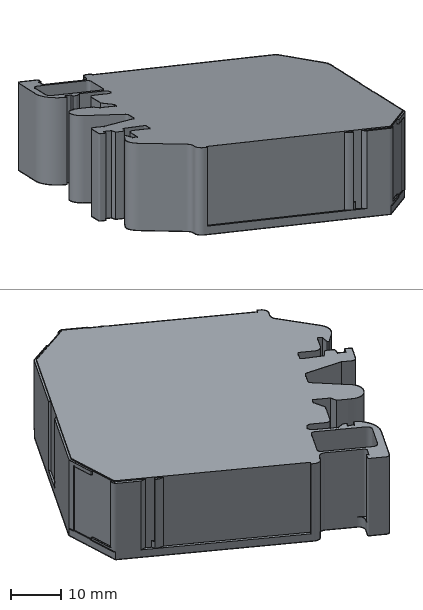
import cadquery as cq
import math

width = 60.0
length = 63.0
thickness = 18.0
half_width = width / 2

shoulder_y = 13.85
shoulder_radius = 1.45
bevel_start_y = 55.75
bevel_top_x = 19.45
bevel_corner_radius = 0.95

rim_drop = 0.25
side_inset = 0.6
end_inset = 0.45

flange_height = 1.75
recess_low_y = 16.0
recess_high_y = 50.35
recess_ramp_length = 0.95
catch_high_y = 47.5
catch_length = 1.75
catch_height = 0.55
catch_bulge_height = 0.4
catch_bulge_setback = 1.1
catch_rib_length = 0.6
catch_rib_top = 3.3

notch_half_floor = 2.8
notch_half_mouth = 3.5

flange_bevel_inset = 0.2
pocket_depth = 0.4
pocket_low_y = 56.4
pocket_step_y = 59.5
pocket_high_y = 62.3
pocket_low_z = 2.4
pocket_tab_z = 16.9

window_left = -25.65
window_right = -17.95
window_low_y = 1.6
window_low_radius = 1.15
window_high_radius = 0.75

spring_outer_x = -26.3
hook_top_y = 4.55
hook_fillet = 1.4
relief_left = -28.5
relief_low_y = 4.05
relief_low_z = 2.4
relief_radius = 0.6

bevel_run = half_width - bevel_top_x
bevel_rise = length - bevel_start_y
bevel_length = math.hypot(bevel_run, bevel_rise)
bevel_normal = (bevel_rise / bevel_length, -bevel_run / bevel_length)


def rounded_prism(corners, low_z, high_z):
    """Extrude a closed outline of (x, y, corner radius) between two heights."""
    arcs = []
    for i, (x, y, radius) in enumerate(corners):
        before = cq.Vector(*corners[i - 1][:2])
        after = cq.Vector(*corners[(i + 1) % len(corners)][:2])
        corner = cq.Vector(x, y)
        if radius == 0:
            arcs.append((corner,))
            continue
        to_before = (before - corner).normalized()
        to_after = (after - corner).normalized()
        half_angle = to_before.getAngle(to_after) / 2
        tangent = radius / math.tan(half_angle)
        sagitta = radius / math.sin(half_angle) - radius
        middle = corner + (to_before + to_after).normalized() * sagitta
        arcs.append((corner + to_before * tangent, middle, corner + to_after * tangent))

    outline = cq.Workplane("XY").workplane(offset=low_z).moveTo(*arcs[0][-1].toTuple()[:2])
    for arc in arcs[1:] + arcs[:1]:
        outline = outline.lineTo(*arc[0].toTuple()[:2])
        if len(arc) == 3:
            outline = outline.threePointArc(arc[1].toTuple()[:2], arc[2].toTuple()[:2])
    return outline.close().extrude(high_z - low_z)


def both_sides(shape):
    """Join a left-hand shape with its mirror image on the right."""
    return shape.union(shape.mirror("YZ"))


def housing():
    head = [
        (half_width, shoulder_y, shoulder_radius),
        (half_width, bevel_start_y, bevel_corner_radius),
        (bevel_top_x, length, 0),
        (-bevel_top_x, length, 0),
        (-half_width, bevel_start_y, bevel_corner_radius),
        (-half_width, shoulder_y, shoulder_radius),
    ]
    spring_foot = [
        (spring_outer_x, shoulder_y, 1.4),
        (spring_outer_x, hook_top_y, hook_fillet),
        (-half_width, hook_top_y, 0.4),
        (-half_width, 0, 0.8),
        (-15.75, 0, 4.6),
        (-15.6, 4.8, 0),
        (-16.75, 4.8, 0),
        (-16.9, 6.2, 0),
        (-16.0, 6.2, 0),
        (-16.0, 7.05, 0.5),
        (-17.15, 8.1, 0),
    ]
    slot_and_step = [
        (-17.15, 14.3, 1.1),
        (-14.9, 14.3, 1.1),
        (-14.9, 9.25, 1.0),
        (-9.0, 9.25, 0),
        (-6.9, 11.35, 0),
        (-5.8, 11.35, 0),
    ]
    finger = [
        (-5.8, 7.7, 0),
        (-6.85, 6.6, 0),
        (-6.85, 4.3, 0),
        (-6.7, 0.6, 2.6),
        (-2.1, 0.6, 2.6),
        (0.8, 10.95, 0.75),
        (4.35, 10.95, 0.6),
    ]
    latch_leg = [
        (7.5, 3.0, 0),
        (7.5, 0, 0.95),
        (12.35, 0, 0.3),
        (12.35, 1.5, 0.2),
        (11.0, 1.5, 0),
        (11.0, 3.15, 0),
        (12.35, 3.5, 0),
        (12.35, 5.55, 0.5),
        (10.4, 6.0, 0),
        (10.0, 10.95, 0.4),
    ]
    rail_foot = [
        (12.55, 10.95, 0.4),
        (12.55, 6.1, 1.4),
        (17.4, 6.1, 0),
        (17.4, 5.1, 0),
        (15.6, 4.5, 0),
        (15.6, 4.05, 0),
        (20.8, 2.2, 2.95),
        (26.65, shoulder_y, 1.5),
    ]
    outline = head + spring_foot + slot_and_step + finger + latch_leg + rail_foot
    return rounded_prism(outline, 0, thickness)


def spring_window():
    return rounded_prism(
        [
            (window_left, window_low_y, window_low_radius),
            (window_right, window_low_y, window_low_radius),
            (window_right, shoulder_y, window_high_radius),
            (window_left, shoulder_y, window_high_radius),
        ],
        0,
        thickness,
    )


def hook_relief():
    """Pocket that sharpens the hook corner above a low remaining web."""
    return rounded_prism(
        [
            (relief_left, relief_low_y, 0),
            (spring_outer_x, relief_low_y, relief_radius),
            (spring_outer_x, hook_top_y + hook_fillet, 0),
            (relief_left, hook_top_y + hook_fillet, 0),
        ],
        relief_low_z,
        thickness,
    )


def rim():
    """Shallow step around the face plate, along the sides, the bevels and the far end."""
    rim_z = thickness - rim_drop
    plate_x = half_width - side_inset
    plate_y = length - end_inset
    slope = bevel_rise / bevel_run
    bevel_drop = end_inset * bevel_length / bevel_run
    plate_bevel_y = bevel_start_y + slope * side_inset - bevel_drop
    plate_top_x = bevel_top_x + (end_inset - bevel_drop) / slope
    plate = (
        cq.Workplane("XY")
        .workplane(offset=rim_z)
        .moveTo(-plate_x, recess_low_y)
        .lineTo(-plate_x, plate_bevel_y)
        .lineTo(-plate_top_x, plate_y)
        .lineTo(plate_top_x, plate_y)
        .lineTo(plate_x, plate_bevel_y)
        .lineTo(plate_x, recess_low_y)
        .close()
        .extrude(rim_drop)
    )
    block = cq.Workplane("XY").box(width, length - recess_low_y, rim_drop, centered=(True, False, False))
    return block.translate((0, recess_low_y, rim_z)).cut(plate)


def side_recess():
    """Left side recess: a ramp at its far end and a curved catch left standing in it."""
    floor_x = side_inset - half_width
    crest_x = floor_x - catch_height
    catch_low_y = catch_high_y - catch_length
    bulge_point = (floor_x - catch_bulge_height, catch_high_y - catch_bulge_setback)
    recess = (
        cq.Workplane("XY")
        .workplane(offset=flange_height)
        .moveTo(-half_width, recess_high_y)
        .lineTo(floor_x, recess_high_y - recess_ramp_length)
        .lineTo(floor_x, catch_high_y)
        .lineTo(crest_x, catch_high_y)
        .threePointArc(bulge_point, (floor_x, catch_low_y))
        .lineTo(floor_x, recess_low_y)
        .lineTo(-half_width, recess_low_y)
        .close()
        .extrude(thickness - flange_height)
    )
    rib = (
        cq.Workplane("XY")
        .workplane(offset=flange_height)
        .moveTo(floor_x, catch_high_y)
        .lineTo(crest_x, catch_high_y)
        .lineTo(floor_x, catch_high_y + catch_rib_length)
        .close()
        .extrude(catch_rib_top - flange_height)
    )
    return recess.cut(rib)


def end_notch():
    """Notch with sloping ends, down to the plate edge and above the flange."""
    floor_y = length - end_inset
    return (
        cq.Workplane("XY")
        .workplane(offset=flange_height)
        .moveTo(-notch_half_mouth, length)
        .lineTo(-notch_half_floor, floor_y)
        .lineTo(notch_half_floor, floor_y)
        .lineTo(notch_half_mouth, length)
        .close()
        .extrude(thickness - flange_height)
    )


def bevel_strip(low_y, high_y, depth, low_z, high_z):
    """Block sunk square to the left bevel, between two Y positions on its face."""

    def face_point(y):
        return (-half_width + (y - bevel_start_y) * bevel_run / bevel_rise, y)

    def floor_point(y):
        x, y = face_point(y)
        return (x + depth * bevel_normal[0], y + depth * bevel_normal[1])

    corners = [face_point(low_y), face_point(high_y), floor_point(high_y), floor_point(low_y)]
    return cq.Workplane("XY").workplane(offset=low_z).polyline(corners).close().extrude(high_z - low_z)


def bevel_pockets():
    """Set-back flange and stepped label pocket on the left bevel."""
    overrun = 0.6
    flange = bevel_strip(bevel_start_y - overrun, length + overrun, flange_bevel_inset, 0, flange_height)
    lower = bevel_strip(pocket_low_y, pocket_step_y, pocket_depth, pocket_low_z, thickness)
    upper = bevel_strip(pocket_step_y, pocket_high_y, pocket_depth, flange_height, pocket_tab_z)
    return flange.union(lower).union(upper)


result = (
    housing()
    .cut(spring_window())
    .cut(hook_relief())
    .cut(rim())
    .cut(both_sides(side_recess()))
    .cut(end_notch())
    .cut(both_sides(bevel_pockets()))
)